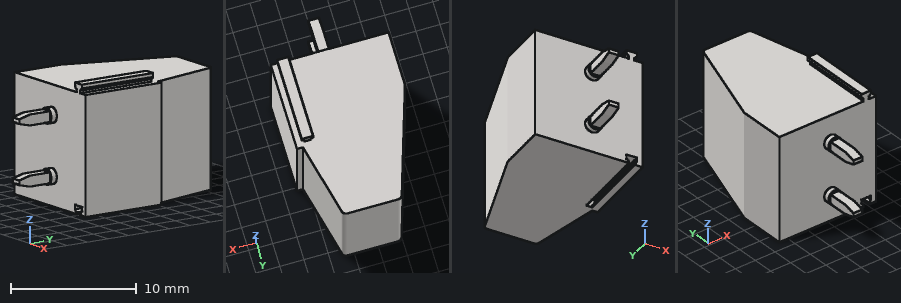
import cadquery as cq

TOTAL_LENGTH = 17.3
PIN_LENGTH = 3.53
BODY_LENGTH = TOTAL_LENGTH - PIN_LENGTH
BODY_WIDTH = 9.8
BODY_HEIGHT = 10.0

LEFT_WALL_LENGTH = 4.53
NOSE_LEFT = 3.0
NOSE_RIGHT = 7.8
LEDGE_LENGTH = 7.4
LEDGE_WIDTH = 0.48
NOSE_RADIUS = 0.38

JOINT_X = BODY_WIDTH - 1.0
JOINT_LENGTH = 6.97
JOINT_HEIGHT = 0.75
HEAD_WIDTH = 0.95
NECK_WIDTH = 0.52
FLARE_HEIGHT = (HEAD_WIDTH - NECK_WIDTH) / 2
RAIL_NECK_HEIGHT = 0.2
GROOVE_NECK_HEIGHT = 0.15

PIN_X = 5.19
PIN_PITCH = BODY_HEIGHT / 2
PIN_SIZE = 0.9
PIN_TIP_HEIGHT = 0.38
PIN_TIP_LENGTH = 1.04
COLLAR_DIAMETER = 1.3
COLLAR_LENGTH = 0.54


def make_body():
    """Extruded housing with sloped flanks and a rounded nose."""
    outline = [
        (0, 0),
        (BODY_WIDTH, 0),
        (BODY_WIDTH, LEDGE_LENGTH),
        (BODY_WIDTH - LEDGE_WIDTH, LEDGE_LENGTH),
        (NOSE_RIGHT, BODY_LENGTH),
        (NOSE_LEFT, BODY_LENGTH),
        (0, LEFT_WALL_LENGTH),
    ]
    block = cq.Workplane("XY").polyline(outline).close().extrude(BODY_HEIGHT)
    return block.faces(">Y").edges("|Z").fillet(NOSE_RADIUS)


def make_joint(base_z, neck_height):
    """Dovetail-like bar standing on base_z, running from the pin face toward +Y."""
    flare_top = neck_height + FLARE_HEIGHT
    right_side = [
        (NECK_WIDTH / 2, 0),
        (NECK_WIDTH / 2, neck_height),
        (HEAD_WIDTH / 2, flare_top),
        (HEAD_WIDTH / 2, JOINT_HEIGHT),
    ]
    left_side = [(-x, z) for x, z in reversed(right_side)]
    profile = cq.Workplane("XZ", origin=(JOINT_X, 0, base_z)).polyline(right_side + left_side).close()
    return profile.extrude(-JOINT_LENGTH)


def make_pin(center_z):
    """Round collar and square pin with a wedge tip, pointing to -Y."""
    collar = (
        cq.Workplane("XZ", origin=(PIN_X, 0, center_z))
        .circle(COLLAR_DIAMETER / 2)
        .extrude(COLLAR_LENGTH)
    )
    tip_start = PIN_TIP_LENGTH - PIN_LENGTH
    upper_edge = [
        (0, PIN_SIZE / 2),
        (tip_start, PIN_SIZE / 2),
        (-PIN_LENGTH, PIN_TIP_HEIGHT / 2),
    ]
    lower_edge = [(y, -z) for y, z in reversed(upper_edge)]
    blade = (
        cq.Workplane("YZ", origin=(PIN_X, 0, center_z))
        .polyline(upper_edge + lower_edge)
        .close()
        .extrude(PIN_SIZE / 2, both=True)
    )
    return collar.union(blade)


result = make_body()
result = result.union(make_joint(BODY_HEIGHT, RAIL_NECK_HEIGHT))
result = result.cut(make_joint(0, GROOVE_NECK_HEIGHT))
for side in (-1, 1):
    result = result.union(make_pin(BODY_HEIGHT / 2 + side * PIN_PITCH / 2))